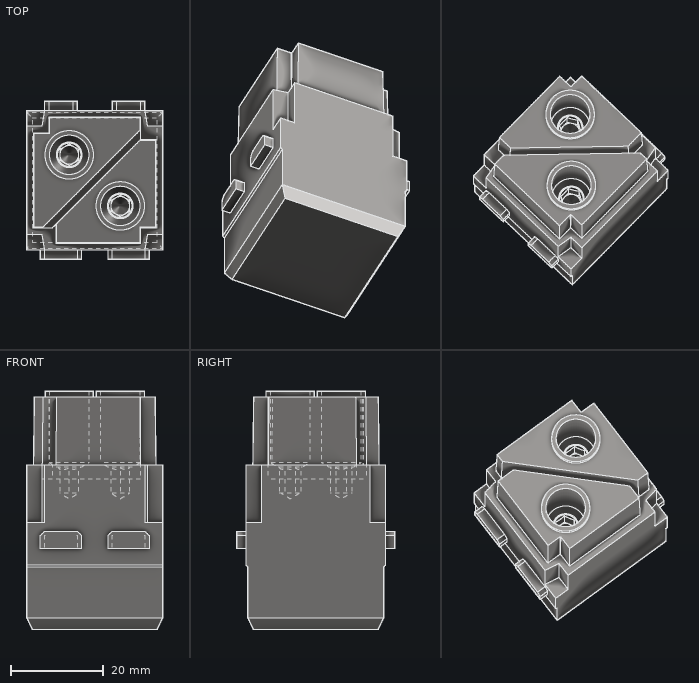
import cadquery as cq
import math

total_height = 51.6
chamfer_height = 2.6
step_bottom = 13.5
step_top = 14.0
corner_notch_floor = 23.15
shoulder_height = 35.65
tower_top = 50.3

body_width = 29.4
upper_depth = 30.2
bottom_chamfer_inset = 1.25

notch_depth = 3.35
neck_outer_half = 10.85
neck_inner_half = 11.4

lug_span = 34.2
lug_bottom = 17.55
lug_top = 21.25
lug_chamfer = 0.95
lug_spacing = 14.6
front_lug_width = 9.0
back_lug_width = 7.1

tower_half_x = 13.25
tower_one_back = 13.7
tower_two_front = 13.6
tower_notch_x = 9.9
tower_notch_y = 10.25
tower_two_left = 8.4
tower_draft = 0.7
slot_half_offset = 1.1
slot_floor = 32.6

sleeve_offset = 5.5
sleeve_diameter = 10.5
bore_diameter = 8.5
funnel_end_diameter = 5.5
seat_diameter = 5.05
hex_across_flats = 4.0
bore_depth = 15.5
funnel_depth = 0.95
hex_depth = 5.15
hex_tip_depth = 1.25

tower_height = tower_top - shoulder_height


def prism(points, bottom, top):
    """Upright prism over an XY outline."""
    return cq.Workplane("XY").workplane(offset=bottom).polyline(points).close().extrude(top - bottom)


def make_body():
    """Stepped block with a chamfered bottom rim."""
    half_lower = body_width / 2
    half_upper = upper_depth / 2
    side_profile = [
        (-half_lower, chamfer_height),
        (half_lower, chamfer_height),
        (half_lower, step_bottom),
        (half_upper, step_top),
        (half_upper, shoulder_height),
        (-half_upper, shoulder_height),
        (-half_upper, step_top),
        (-half_lower, step_bottom),
    ]
    block = cq.Workplane("YZ").polyline(side_profile).close().extrude(half_lower, both=True)
    base_taper = math.degrees(math.atan(bottom_chamfer_inset / chamfer_height))
    base = (
        cq.Workplane("XY")
        .workplane(offset=chamfer_height)
        .rect(body_width, body_width)
        .extrude(-chamfer_height, taper=base_taper)
    )
    return block.union(base)


def make_corner_notches():
    """One notch mirrored to all four corners; the neck between them widens inward."""
    outline = [
        (neck_outer_half, upper_depth / 2),
        (body_width / 2, upper_depth / 2),
        (body_width / 2, upper_depth / 2 - notch_depth),
        (neck_inner_half, upper_depth / 2 - notch_depth),
    ]
    notch = prism(outline, corner_notch_floor, shoulder_height)
    pair = notch.union(notch.mirror("YZ"))
    return pair.union(pair.mirror("XZ"))


def make_lugs(width, side):
    """Pair of lugs with chamfered upper corners; side is +1 for +Y and -1 for -Y."""
    lug_height = lug_top - lug_bottom
    lug_reach = lug_span / 2
    lugs = (
        cq.Workplane("XY")
        .workplane(offset=lug_bottom)
        .center(0, side * lug_reach / 2)
        .pushPoints([(-lug_spacing / 2, 0), (lug_spacing / 2, 0)])
        .rect(width, lug_reach)
        .extrude(lug_height)
    )
    return lugs.faces(">Z").edges("|Y").chamfer(lug_chamfer)


def make_tower(outline, side):
    """Drafted block cut back to one side of the diagonal slot; side +1 keeps y > x."""
    block = (
        cq.Workplane("XY")
        .workplane(offset=shoulder_height)
        .polyline(outline)
        .close()
        .extrude(tower_height, taper=tower_draft)
    )
    reach = body_width
    offset = side * slot_half_offset
    far_side = [
        (-reach, -reach + offset),
        (reach, reach + offset),
        (side * reach, -side * reach + offset),
    ]
    return block.cut(prism(far_side, shoulder_height, tower_top))


def make_slot_pocket():
    """The diagonal slot continues below the shoulder between the tower outlines."""
    outline = [
        (-tower_notch_y - slot_half_offset, -tower_notch_y),
        (-tower_notch_y + slot_half_offset, -tower_notch_y),
        (tower_notch_x, tower_notch_x - slot_half_offset),
        (tower_notch_x, tower_notch_x + slot_half_offset),
    ]
    return prism(outline, slot_floor, shoulder_height)


def make_sleeve():
    """Rim of the contact sleeve standing above the tower top."""
    return (
        cq.Workplane("XY")
        .workplane(offset=tower_top)
        .circle(sleeve_diameter / 2)
        .extrude(total_height - tower_top)
    )


def make_bore():
    """Bore on the Z axis: sleeve bore, funnel, seat and hexagon socket with flats facing X."""
    funnel_top = total_height - bore_depth
    funnel_bottom = funnel_top - funnel_depth
    seat_bottom = funnel_bottom - (seat_diameter - hex_across_flats) / 2
    hex_bottom = seat_bottom - hex_depth
    profile = [
        (0, total_height),
        (bore_diameter / 2, total_height),
        (bore_diameter / 2, funnel_top),
        (funnel_end_diameter / 2, funnel_bottom),
        (seat_diameter / 2, funnel_bottom),
        (hex_across_flats / 2, seat_bottom),
        (hex_across_flats / 2, hex_bottom),
        (0, hex_bottom - hex_tip_depth),
    ]
    bore = cq.Workplane("XZ").polyline(profile).close().revolve(360, (0, 0, 0), (0, 1, 0))
    socket = (
        cq.Workplane("XY")
        .workplane(offset=hex_bottom)
        .polygon(6, hex_across_flats, circumscribed=True)
        .extrude(funnel_bottom - hex_bottom)
    )
    return bore.union(socket)


tower_one_outline = [
    (-tower_half_x, -tower_notch_y),
    (tower_notch_x, -tower_notch_y),
    (tower_notch_x, tower_one_back),
    (-tower_notch_x, tower_one_back),
    (-tower_notch_x, tower_notch_y),
    (-tower_half_x, tower_notch_y),
]
tower_two_top = tower_notch_x - slot_half_offset
tower_two_outline = [
    (-tower_two_left, -tower_two_front),
    (tower_notch_x, -tower_two_front),
    (tower_notch_x, -tower_notch_y),
    (tower_half_x, -tower_notch_y),
    (tower_half_x, tower_two_top),
    (-tower_two_left, tower_two_top),
]

result = make_body().cut(make_corner_notches())
result = result.union(make_lugs(front_lug_width, -1))
result = result.union(make_lugs(back_lug_width, 1))
result = result.union(make_tower(tower_one_outline, 1))
result = result.union(make_tower(tower_two_outline, -1))
result = result.cut(make_slot_pocket())

for x, y in [(-sleeve_offset, sleeve_offset), (sleeve_offset, -sleeve_offset)]:
    result = result.union(make_sleeve().translate((x, y, 0)))
    result = result.cut(make_bore().translate((x, y, 0)))